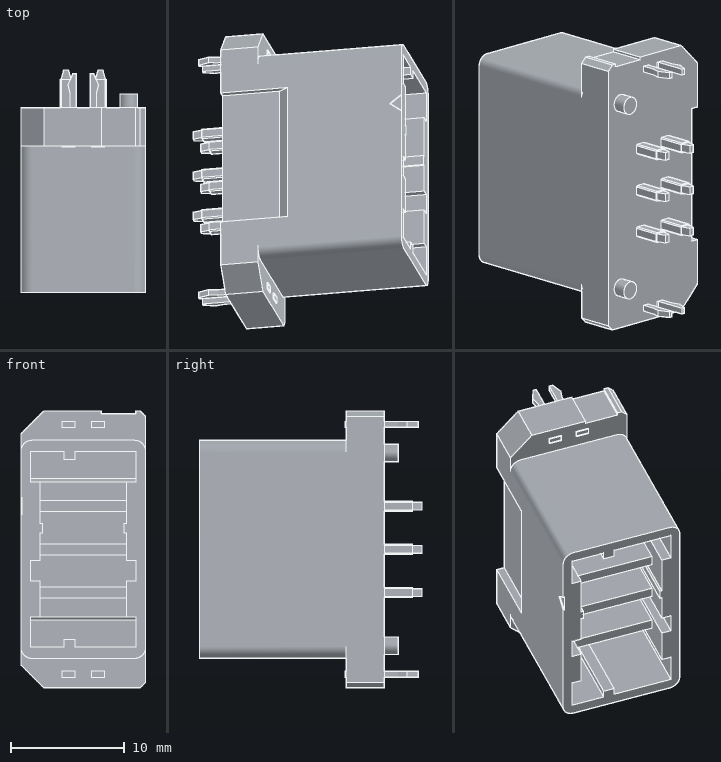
import cadquery as cq


width = 11.0
height = 24.37
shell_height = 19.2
shell_corner_radius = 1.0
flange_front = 12.92
flange_rear = 16.28
large_chamfer = 2.02
small_chamfer = 0.49
notch_left = 1.58
notch_right = 4.6
notch_depth = 0.25

cavity_width = 9.3
cavity_height = 17.2
narrow_width = 7.6
end_bay_inner = 5.95
side_slot_top = -1.0
side_slot_bottom = -2.78
cavity_floor = flange_front
floor_step = 0.27
key_left = -1.68
key_right = -0.7
key_height = 0.68
bump_bottom = 1.45
bump_top = 2.3
bump_height = 0.2

row_pitch = 3.8
row_heights = (-row_pitch, 0, row_pitch)
blade_thickness = 0.97
blade_front = 2.44
pin_x = 1.5
pin_width = 1.05
pin_thickness = 0.9
pin_edge_chamfer = 0.11
pin_shoulder = 18.76
pin_end = 19.6
tip_base_width = 0.9
tip_end_width = 0.45
tip_thickness = 0.7

tag_z = 11.0
tag_thickness = 0.54
tag_inner = 0.6
tag_outer = 1.15
tag_foot = 0.1
tag_barb = 1.35
tag_barb_start = 17.5
tag_barb_peak = 18.28
tag_point_outer = 0.93
tag_end = 19.28
tag_head_height = 0.085
tag_head_inner = 0.7
tag_head_outer = 1.85
tag_head_front = flange_front - tag_head_height

peg_x = 4.0
peg_z = 8.48
peg_diameter = 1.55
peg_end = 17.5

recess_half_height = 6.1
recess_depth = 0.7
recess_ramp_start = 10.24
recess_ramp_end = 11.11
mark_length = 1.02
mark_half_height = 0.75
mark_depth = 0.1


def block(x0, x1, y0, y1, z0, z1):
    """Box between opposite corners."""
    return cq.Workplane("XY").box(x1 - x0, y1 - y0, z1 - z0, centered=False).translate((x0, y0, z0))


def centred_block(x_size, y0, y1, z0, z1):
    """Box symmetric about x = 0."""
    return block(-x_size / 2, x_size / 2, y0, y1, z0, z1)


def make_housing():
    shell = centred_block(width, 0, flange_rear, -shell_height / 2, shell_height / 2)
    shell = shell.edges("|Y").fillet(shell_corner_radius)
    flange = centred_block(width, flange_front, flange_rear, -height / 2, height / 2)
    flange = flange.edges("|Y and <X").chamfer(large_chamfer)
    flange = flange.edges("|Y and >X").chamfer(small_chamfer)
    notch = block(notch_left, notch_right, flange_front, flange_rear, height / 2 - notch_depth, height / 2)
    return shell.union(flange.cut(notch))


def make_cavity():
    half_height = cavity_height / 2
    cavity = centred_block(narrow_width, 0, cavity_floor, -half_height, half_height)
    cavity = cavity.union(centred_block(cavity_width, 0, cavity_floor, end_bay_inner, half_height))
    cavity = cavity.union(centred_block(cavity_width, 0, cavity_floor, -half_height, -end_bay_inner))
    cavity = cavity.union(centred_block(cavity_width, 0, cavity_floor, side_slot_bottom, side_slot_top))

    for z0, z1 in ((half_height - key_height, half_height), (-half_height, key_height - half_height)):
        cavity = cavity.cut(block(key_left, key_right, 0, cavity_floor, z0, z1))
    bump_gap = narrow_width / 2 - bump_height
    for x0, x1 in ((-narrow_width / 2, -bump_gap), (bump_gap, narrow_width / 2)):
        cavity = cavity.cut(block(x0, x1, 0, cavity_floor, bump_bottom, bump_top))

    step_base = end_bay_inner + floor_step
    step_top = cavity_floor - floor_step
    raised_floor = (
        cq.Workplane("YZ")
        .polyline([
            (cavity_floor, -step_base),
            (step_top, -end_bay_inner),
            (step_top, end_bay_inner),
            (cavity_floor, step_base),
        ])
        .close()
        .extrude(cavity_width / 2, both=True)
    )
    return cavity.cut(raised_floor)


def make_recess():
    left = -width / 2
    return (
        cq.Workplane("XY")
        .polyline([
            (left, recess_ramp_start),
            (left + recess_depth, recess_ramp_end),
            (left + recess_depth, flange_rear),
            (left, flange_rear),
        ])
        .close()
        .extrude(recess_half_height, both=True)
    )


def make_pin_one_mark():
    return (
        cq.Workplane("YZ", origin=(-width / 2, 0, row_pitch))
        .polyline([(0, -mark_half_height), (0, mark_half_height), (mark_length, 0)])
        .close()
        .extrude(mark_depth)
    )


def make_contact_pin(x, z):
    body = centred_block(pin_width, flange_rear, pin_shoulder, -pin_thickness / 2, pin_thickness / 2)
    body = body.edges("|Y").chamfer(pin_edge_chamfer)
    tip = (
        cq.Workplane("XY")
        .polyline([
            (-tip_base_width / 2, pin_shoulder),
            (tip_base_width / 2, pin_shoulder),
            (tip_end_width / 2, pin_end),
            (-tip_end_width / 2, pin_end),
        ])
        .close()
        .extrude(tip_thickness / 2, both=True)
    )
    return body.union(tip).translate((x, 0, z))


def make_solder_tag(z):
    """Barbed tag on the +X side, with its head just proud of the flange front."""
    half = tag_thickness / 2
    tail = (
        cq.Workplane("XY")
        .polyline([
            (tag_inner - tag_foot, flange_rear),
            (tag_outer, flange_rear),
            (tag_outer, tag_barb_start),
            (tag_barb, tag_barb_peak),
            (tag_point_outer, tag_end),
            (tag_inner, tag_end),
            (tag_inner, flange_rear + tag_foot),
        ])
        .close()
        .extrude(half, both=True)
    )
    head = block(tag_head_inner, tag_head_outer, tag_head_front, flange_front, -half, half)
    return tail.union(head).translate((0, 0, z))


def make_peg(z):
    return (
        cq.Workplane("XZ", origin=(peg_x, flange_rear, z))
        .circle(peg_diameter / 2)
        .extrude(flange_rear - peg_end)
    )


result = make_housing().cut(make_cavity()).cut(make_recess()).cut(make_pin_one_mark())

for row_z in row_heights:
    blade_bottom = row_z - blade_thickness / 2
    result = result.union(
        centred_block(narrow_width, blade_front, cavity_floor, blade_bottom, blade_bottom + blade_thickness)
    )
    for x in (-pin_x, pin_x):
        result = result.union(make_contact_pin(x, row_z))

for side in (-1, 1):
    tag = make_solder_tag(side * tag_z)
    result = result.union(tag).union(tag.mirror("YZ"))
    result = result.union(make_peg(side * peg_z))